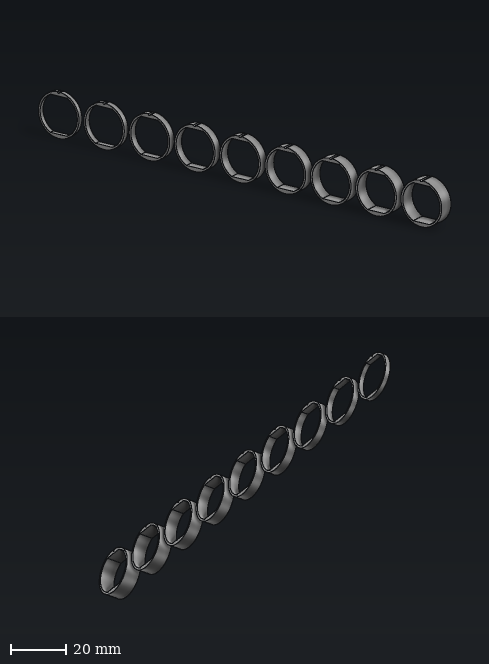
import cadquery as cq

total_length = 178.0
ring_count = 9
outer_diameter = 18.0
pitch = (total_length - outer_diameter) / (ring_count - 1)

wall = 0.84
bore_diameter = outer_diameter - 2 * wall
flat_spacing = 14.6

width_step = 0.5
narrowest_width = 4 * width_step

groove_width = 1.0


def along_y(length):
    """Sketch plane at Y = length, facing -Y, so extruding by length ends at Y = 0."""
    return cq.Workplane("XZ", origin=(0, length, 0))


def bore(width):
    """Round bore cut short by two horizontal flats."""
    cylinder = along_y(width).circle(bore_diameter / 2).extrude(width)
    slab = along_y(width).rect(bore_diameter, flat_spacing).extrude(width)
    return cylinder.intersect(slab)


def groove(width):
    """Cylinder centred on the crown of the ring, cutting a half-round groove over its full width."""
    return (
        along_y(width)
        .center(0, outer_diameter / 2)
        .circle(groove_width / 2)
        .extrude(width)
    )


def ring(width):
    """One ring with its axis along Y and its front face at Y = 0."""
    blank = along_y(width).circle(outer_diameter / 2).extrude(width)
    return blank.cut(bore(width)).cut(groove(width))


rings = []
for index in range(ring_count):
    ring_width = narrowest_width + index * width_step
    rings.append(ring(ring_width).translate((index * pitch, 0, 0)).val())

result = cq.Compound.makeCompound(rings)